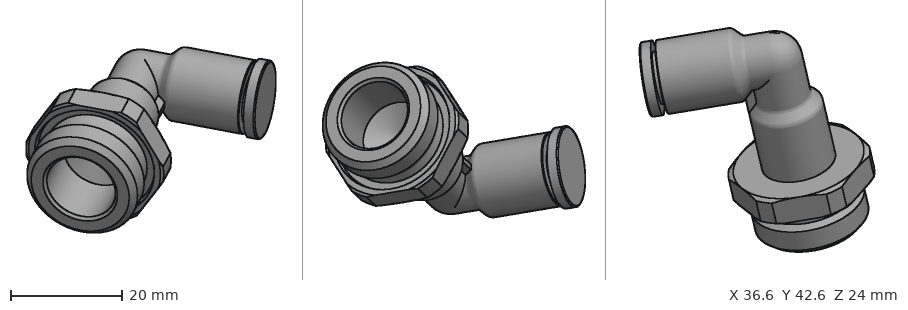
import cadquery as cq
import math


neck_radius = 5.0
body_radius = 6.77
step_length = 1.9
step_inner_fillet = 0.85
step_outer_fillet = 1.05

branch_step_start = 5.0
branch_end = 20.65
branch_end_chamfer = 0.15
collar_groove_radius = 4.8
collar_start = 21.5
collar_end = 23.6
collar_half_y = 6.5
collar_half_z = 7.55
collar_chamfer = 0.25

overall_length = 42.6
stem_step_start = 8.35
stem_end = overall_length - body_radius
web_thickness = 1.02

hex_start = 22.32
hex_end = 27.35
hex_across_flats = 24.0
hex_corner_radius = 13.0
hex_top_chamfer_height = 0.4
hex_bottom_chamfer_height = 0.2
hex_bottom_chamfer_width = 0.55
seat_outer_radius = 11.3
seat_depth = 1.15
seat_floor = hex_end - seat_depth
seat_wall_angle = 15
seat_wall_slope = math.tan(math.radians(seat_wall_angle))
seat_floor_radius = seat_outer_radius - seat_depth * seat_wall_slope

undercut_radius = 9.1
undercut_start = 27.8
undercut_end = 29.9
thread_start = 30.67
thread_radius = 10.45
thread_chamfer = 1.2
spigot_root_radius = undercut_radius + (undercut_start - seat_floor) * seat_wall_slope

bore_radius = 6.48
bore_mouth_radius = 7.05
bore_mouth_depth = bore_mouth_radius - bore_radius
bore_depth = 10.65
bore_tip_angle = 118
bore_tip_height = bore_radius / math.tan(math.radians(bore_tip_angle / 2))


def revolve_about_stem(points):
    """Revolve an outline of (radius, distance down the stem) about the stem axis."""
    outline = [(radius, -distance) for radius, distance in points]
    return cq.Workplane("XY").polyline(outline).close().revolve(360, (0, 0), (0, 1))


def stepped_arm(step_start, end):
    """An arm along -Y that widens from the neck to the body over a cone with rounded ends."""
    step_end = step_start + step_length
    arm = revolve_about_stem([
        (0, 0),
        (neck_radius, 0),
        (neck_radius, step_start),
        (body_radius, step_end),
        (body_radius, end),
        (0, end),
    ])
    arm = arm.edges(cq.NearestToPointSelector((0, -step_start, 0))).fillet(step_inner_fillet)
    return arm.edges(cq.NearestToPointSelector((0, -step_end, 0))).fillet(step_outer_fillet)


def make_branch():
    arm = stepped_arm(branch_step_start, branch_end).faces("<Y").chamfer(branch_end_chamfer)
    arm = arm.rotate((0, 0, 0), (0, 0, 1), 90)
    groove = cq.Workplane("YZ", origin=(branch_end, 0, 0)).circle(collar_groove_radius)
    groove = groove.extrude(collar_start - branch_end)
    collar = cq.Workplane("YZ", origin=(collar_start, 0, 0)).ellipse(collar_half_y, collar_half_z)
    collar = collar.extrude(collar_end - collar_start).faces(">X").chamfer(collar_chamfer)
    return arm.union(groove).union(collar)


def make_web():
    """Thin plate on the symmetry plane that fills the inside corner of the elbow."""
    web_end = -(stem_step_start + step_length)
    outline = [(0, 0), (body_radius, -body_radius), (body_radius, web_end), (0, web_end)]
    return cq.Workplane("XY").polyline(outline).close().extrude(web_thickness / 2, both=True)


def make_hexagon():
    """Hexagon with turned corners, beveled edges and a tapered seal seat in its lower face."""
    across_corners = hex_across_flats / math.cos(math.radians(30))
    prism = cq.Workplane("XZ", origin=(0, -hex_start, 0)).polygon(6, across_corners)
    prism = prism.extrude(hex_end - hex_start)
    turned = revolve_about_stem([
        (0, hex_start),
        (hex_across_flats / 2, hex_start),
        (hex_corner_radius, hex_start + hex_top_chamfer_height),
        (hex_corner_radius, hex_end - hex_bottom_chamfer_height),
        (hex_corner_radius - hex_bottom_chamfer_width, hex_end),
        (0, hex_end),
    ])
    seat = revolve_about_stem([
        (0, seat_floor),
        (seat_floor_radius, seat_floor),
        (seat_outer_radius, hex_end),
        (0, hex_end),
    ])
    return prism.intersect(turned).cut(seat)


def make_spigot():
    return revolve_about_stem([
        (0, seat_floor),
        (spigot_root_radius, seat_floor),
        (undercut_radius, undercut_start),
        (undercut_radius, undercut_end),
        (thread_radius, thread_start),
        (thread_radius, stem_end - thread_chamfer),
        (thread_radius - thread_chamfer, stem_end),
        (0, stem_end),
    ])


def make_bore():
    return revolve_about_stem([
        (0, stem_end),
        (bore_mouth_radius, stem_end),
        (bore_radius, stem_end - bore_mouth_depth),
        (bore_radius, stem_end - bore_depth),
        (0, stem_end - bore_depth - bore_tip_height),
    ])


corner_dome = cq.Workplane("XY").sphere(neck_radius)

result = (
    stepped_arm(stem_step_start, hex_start)
    .union(make_branch())
    .union(corner_dome)
    .union(make_web())
    .union(make_hexagon())
    .union(make_spigot())
    .cut(make_bore())
)